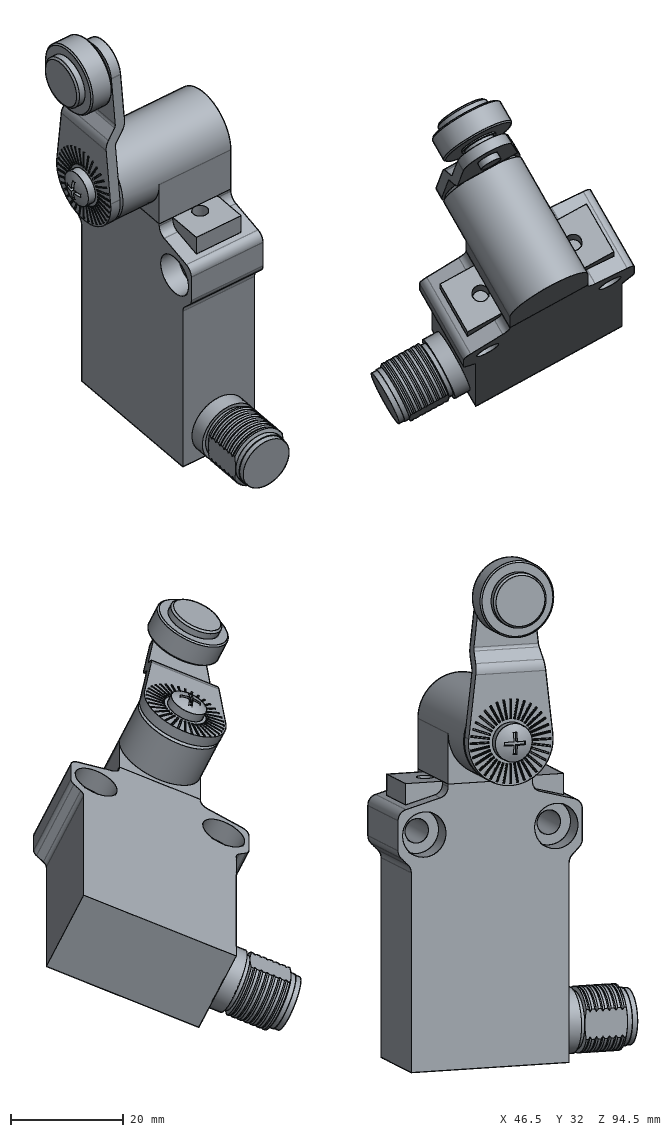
import cadquery as cq
import math


housing_width = 30.0
housing_depth = 16.1
seat_height = 52.0
ear_span = 35.0
ear_corner_radius = 2.0
ear_side_bottom = 40.4
ear_slope = 15
shoulder_fillet_top = 51.5
mount_spacing = 25.0
mount_height = 43.1
mount_hole_diameter = 4.4
mount_bore_diameter = 8.2
mount_bore_depth = 4.0
tab_depth = 10.0
tab_bottom = 45.4
tab_hole_spacing = 19.0
tab_hole_diameter = 3.0
tab_hole_depth = 4.7

head_diameter = 16.0
head_axis_height = 61.1
head_length = 24.9
head_chamfer = 0.7

lever_thickness = 2.1
lever_back = -head_length
lever_bottom_radius = 8.0
lever_top_radius = 5.0
lever_bend_angle = 38
lever_bend_start = 73.6
lever_bend_radius = 1.0
lever_bend_flat_rise = 2.0
serration_count = 36
serration_inner_diameter = 8.2
serration_outer_diameter = 15.3
serration_width = 0.3
serration_depth = 0.4

screw_head_diameter = 7.0
screw_head_rim = 1.6
screw_dome_height = 0.9
screw_shank_diameter = 4.0
screw_reach = 4.7
cross_length = 4.0
cross_width = 0.7
cross_depth = 0.9

roller_diameter = 14.0
roller_back = -25.8
roller_front = -30.4
roller_hub_diameter = 7.0
roller_hub_end = -25.5
roller_chamfer = 0.3
overall_height = 94.5
roller_height = overall_height - roller_diameter / 2
pin_tail_diameter = 4.1
pin_tail_end = -21.2
pin_shoulder_diameter = 6.0
pin_head_diameter = 10.0
pin_head_end = -32.0
pin_head_chamfer = 0.4

connector_height = 6.1
connector_flange_diameter = 12.0
connector_flange_end = 18.05
connector_barrel_diameter = 10.6
connector_tip_diameter = 10.3
connector_tip_start = 28.0
connector_end = 29.0
collar_start = 18.9
collar_end = 27.0
collar_end_bevel = 0.3
collar_flats = 10.7
groove_count = 6
groove_pitch = 1.2
groove_width = 0.7
groove_depth = 0.2

head_radius = head_diameter / 2
half_width = housing_width / 2
half_ear = ear_span / 2


def rod(diameter, x, z, y_from, y_to):
    """Cylinder along Y between two Y positions."""
    circle = cq.Workplane("XZ", origin=(x, y_from, z)).circle(diameter / 2)
    return circle.extrude(y_from - y_to)


def block(x_from, x_to, y_from, y_to, z_from, z_to):
    """Box between two opposite corners."""
    size = (x_to - x_from, y_to - y_from, z_to - z_from)
    return cq.Workplane("XY").box(*size, centered=False).translate((x_from, y_from, z_from))


def arc_point(centre, radius, degrees):
    """Point on a circle, at an angle counted from the first axis towards the second."""
    angle = math.radians(degrees)
    return centre[0] + radius * math.cos(angle), centre[1] + radius * math.sin(angle)



def housing_half():
    """Right half of the housing outline, extruded over its depth."""
    r = ear_corner_radius
    normal = 90 - ear_slope
    fillet_centre = (head_radius + r, shoulder_fillet_top)
    slope_start = arc_point(fillet_centre, r, 180 + normal)
    corner_x = half_ear - r
    slope_end_x = corner_x + r * math.cos(math.radians(normal))
    slope_end_z = slope_start[1] - (slope_end_x - slope_start[0]) * math.tan(math.radians(ear_slope))
    corner_centre = (corner_x, slope_end_z - r * math.sin(math.radians(normal)))
    lower_centre = (corner_x, ear_side_bottom)
    lower_tangent = arc_point(lower_centre, r, -45)
    blend_centre_x = half_width + r
    blend_tangent_x = blend_centre_x + r * math.cos(math.radians(135))
    blend_tangent_z = lower_tangent[1] - (lower_tangent[0] - blend_tangent_x)
    blend_centre = (blend_centre_x, blend_tangent_z - r * math.sin(math.radians(135)))
    return (
        cq.Workplane("XZ")
        .lineTo(half_width, 0)
        .lineTo(half_width, blend_centre[1])
        .threePointArc(arc_point(blend_centre, r, 157.5), (blend_tangent_x, blend_tangent_z))
        .lineTo(*lower_tangent)
        .threePointArc(arc_point(lower_centre, r, -22.5), (half_ear, ear_side_bottom))
        .lineTo(half_ear, corner_centre[1])
        .threePointArc(arc_point(corner_centre, r, normal / 2), (slope_end_x, slope_end_z))
        .lineTo(*slope_start)
        .threePointArc(arc_point(fillet_centre, r, 180 + normal / 2), (head_radius, shoulder_fillet_top))
        .lineTo(head_radius, seat_height)
        .lineTo(0, seat_height)
        .close()
        .extrude(housing_depth)
    )


def build_housing():
    right = housing_half()
    body = right.union(right.mirror("YZ"))
    tab_y = -housing_depth / 2
    tab = block(-half_width, half_width, tab_y - tab_depth / 2, tab_y + tab_depth / 2, tab_bottom, seat_height)
    body = body.union(tab)
    for side in (-1, 1):
        x = side * mount_spacing / 2
        body = body.cut(rod(mount_hole_diameter, x, mount_height, 0, -housing_depth))
        bore_floor = -housing_depth + mount_bore_depth
        body = body.cut(rod(mount_bore_diameter, x, mount_height, bore_floor, -housing_depth))
        hole_top = cq.Workplane("XY", origin=(side * tab_hole_spacing / 2, tab_y, seat_height))
        body = body.cut(hole_top.circle(tab_hole_diameter / 2).extrude(-tab_hole_depth))
    return body



def build_head():
    barrel = rod(head_diameter, 0, head_axis_height, 0, -head_length).faces("<Y").chamfer(head_chamfer)
    base = block(-head_radius, head_radius, -housing_depth, 0, seat_height, head_axis_height)
    screw_hole = rod(screw_shank_diameter, 0, head_axis_height, -head_length + screw_reach, -head_length)
    return barrel.union(base).cut(screw_hole)



def lever_front_y():
    return lever_back - lever_thickness


def bend_path():
    """Joggle from the lower leg back to the upper leg: rise and Y offset of each stage."""
    angle = math.radians(lever_bend_angle)
    outer = lever_bend_radius + lever_thickness
    return [
        (outer * math.sin(angle), outer * (1 - math.cos(angle))),
        (lever_bend_flat_rise, lever_bend_flat_rise * math.tan(angle)),
        (lever_bend_radius * math.sin(angle), lever_bend_radius * (1 - math.cos(angle))),
    ]


def upper_leg_front_y():
    return lever_front_y() + sum(shift for _, shift in bend_path())


def lever_profile():
    """Bent strip seen along X, extruded wider than the lever."""
    inner = lever_bend_radius
    outer = inner + lever_thickness
    turn = lever_bend_angle
    top = roller_height + lever_top_radius
    bottom = head_axis_height - lever_bottom_radius
    front = lever_front_y()
    upper_front = upper_leg_front_y()
    upper_back = upper_front + lever_thickness
    bend_end = lever_bend_start + sum(rise for rise, _ in bend_path())
    low_centre = (front + outer, lever_bend_start)
    high_centre = (upper_front - inner, bend_end)
    return (
        cq.Workplane("YZ")
        .moveTo(front, bottom)
        .lineTo(front, lever_bend_start)
        .threePointArc(arc_point(low_centre, outer, 180 - turn / 2), arc_point(low_centre, outer, 180 - turn))
        .lineTo(*arc_point(high_centre, inner, -turn))
        .threePointArc(arc_point(high_centre, inner, -turn / 2), (upper_front, bend_end))
        .lineTo(upper_front, top)
        .lineTo(upper_back, top)
        .lineTo(upper_back, bend_end)
        .threePointArc(arc_point(high_centre, outer, -turn / 2), arc_point(high_centre, outer, -turn))
        .lineTo(*arc_point(low_centre, inner, 180 - turn))
        .threePointArc(arc_point(low_centre, inner, 180 - turn / 2), (lever_back, lever_bend_start))
        .lineTo(lever_back, bottom)
        .close()
        .extrude(lever_bottom_radius, both=True)
    )


def lever_outline():
    """Tapered outline: two round ends joined by their common tangents, deep enough for both legs."""
    rise = roller_height - head_axis_height
    tilt = math.degrees(math.asin((lever_bottom_radius - lever_top_radius) / rise))
    low = (0, head_axis_height)
    high = (0, roller_height)
    return (
        cq.Workplane("XZ", origin=(0, pin_tail_end, 0))
        .moveTo(*arc_point(low, lever_bottom_radius, tilt))
        .lineTo(*arc_point(high, lever_top_radius, tilt))
        .threePointArc(arc_point(high, lever_top_radius, 90), arc_point(high, lever_top_radius, 180 - tilt))
        .lineTo(*arc_point(low, lever_bottom_radius, 180 - tilt))
        .threePointArc(arc_point(low, lever_bottom_radius, -90), arc_point(low, lever_bottom_radius, tilt))
        .close()
        .extrude(pin_tail_end - lever_front_y())
    )


def serration_grooves():
    """Radial grooves around the screw, cut into the front of the lever."""
    inner = serration_inner_diameter / 2
    outer = serration_outer_diameter / 2
    front = lever_front_y()
    groove = block(
        inner, outer, front, front + serration_depth, -serration_width / 2, serration_width / 2
    )
    grooves = []
    for index in range(serration_count):
        turned = groove.rotate((0, 0, 0), (0, 1, 0), index * 360 / serration_count)
        grooves.append(turned.translate((0, 0, head_axis_height)).val())
    return cq.Workplane(cq.Compound.makeCompound(grooves))


def build_lever():
    lever = lever_profile().intersect(lever_outline())
    lever = lever.cut(rod(screw_shank_diameter, 0, head_axis_height, lever_back, lever_front_y()))
    lever = lever.cut(rod(pin_tail_diameter, 0, roller_height, pin_tail_end, lever_front_y()))
    return lever.cut(serration_grooves())



def build_screw():
    seat = lever_front_y()
    rim = seat - screw_head_rim
    tip = rim - screw_dome_height
    radius = screw_head_diameter / 2
    shank_radius = screw_shank_diameter / 2
    shank_end = -head_length + screw_reach
    dome_radius = (radius**2 + screw_dome_height**2) / (2 * screw_dome_height)
    half_angle = math.degrees(math.asin(radius / dome_radius)) / 2
    dome_middle = arc_point((0, tip + dome_radius), dome_radius, -90 + half_angle)
    screw = (
        cq.Workplane("XY")
        .moveTo(0, shank_end)
        .lineTo(shank_radius, shank_end)
        .lineTo(shank_radius, seat)
        .lineTo(radius, seat)
        .lineTo(radius, rim)
        .threePointArc(dome_middle, (0, tip))
        .close()
        .revolve(360, (0, 0, 0), (0, 1, 0))
    )
    for length, width in ((cross_length, cross_width), (cross_width, cross_length)):
        screw = screw.cut(block(-length / 2, length / 2, tip, tip + cross_depth, -width / 2, width / 2))
    return screw.translate((0, 0, head_axis_height))



def build_roller():
    wheel = rod(roller_diameter, 0, roller_height, roller_back, roller_front)
    wheel = wheel.faces("<Y or >Y").chamfer(roller_chamfer)
    wheel = wheel.union(rod(roller_hub_diameter, 0, roller_height, roller_hub_end, roller_back))
    return wheel.cut(rod(pin_shoulder_diameter, 0, roller_height, roller_hub_end, roller_front))


def build_roller_pin():
    shoulder_back = upper_leg_front_y()
    tail = rod(pin_tail_diameter, 0, roller_height, pin_tail_end, shoulder_back)
    shoulder = rod(pin_shoulder_diameter, 0, roller_height, shoulder_back, roller_front)
    head = rod(pin_head_diameter, 0, roller_height, roller_front, pin_head_end)
    head = head.faces("<Y").chamfer(pin_head_chamfer)
    return tail.union(shoulder).union(head)



def along_x(outline):
    """Turn an outline of (distance along X, radius) points about the connector axis."""
    turned = cq.Workplane("XY").polyline(outline).close().revolve(360, (0, 0, 0), (1, 0, 0))
    return turned.translate((0, -housing_depth / 2, connector_height))


def connector_collar():
    """Grooved collar with bevelled ends and two flats, facing front and back."""
    radius = connector_flange_diameter / 2
    root = connector_barrel_diameter / 2
    collar = along_x([
        (collar_start, 0),
        (collar_start, root),
        (collar_start + collar_end_bevel, radius),
        (collar_end - collar_end_bevel, radius),
        (collar_end, root),
        (collar_end, 0),
    ])
    first_groove = (collar_start + collar_end - (groove_count - 1) * groove_pitch) / 2
    for index in range(groove_count):
        x = first_groove + index * groove_pitch
        collar = collar.cut(along_x([
            (x - groove_width / 2, radius),
            (x, radius - groove_depth),
            (x + groove_width / 2, radius),
        ]))
    middle = -housing_depth / 2
    between_flats = block(
        collar_start, collar_end, middle - collar_flats / 2, middle + collar_flats / 2, 0, 2 * connector_height
    )
    return collar.intersect(between_flats)


def build_connector():
    flange = connector_flange_diameter / 2
    barrel = connector_barrel_diameter / 2
    tip = connector_tip_diameter / 2
    stem = along_x([
        (half_width, 0),
        (half_width, flange),
        (connector_flange_end, flange),
        (connector_flange_end, barrel),
        (connector_tip_start, barrel),
        (connector_tip_start, tip),
        (connector_end, tip),
        (connector_end, 0),
    ])
    return stem.union(connector_collar())


housing = build_housing()
head = build_head()
lever = build_lever()
screw = build_screw()
roller = build_roller()
roller_pin = build_roller_pin()
connector = build_connector()

result = cq.Compound.makeCompound([
    housing.val(),
    head.val(),
    lever.val(),
    screw.val(),
    roller.val(),
    roller_pin.val(),
    connector.val(),
])